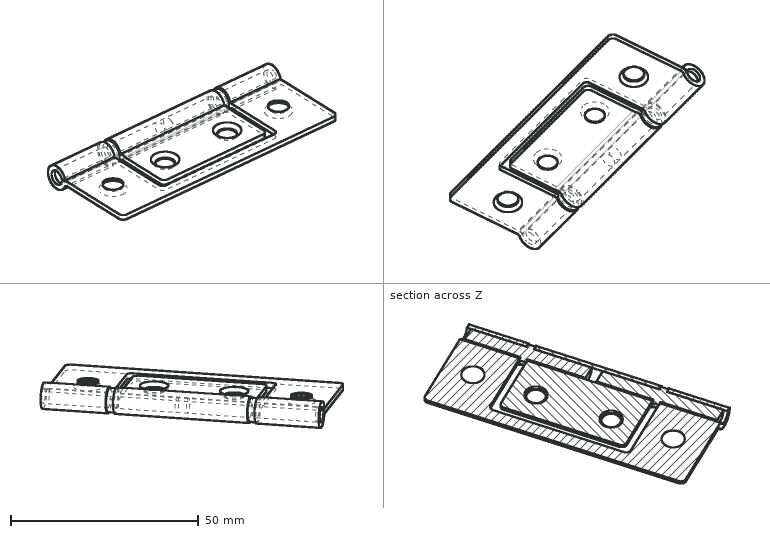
import cadquery as cq
import math

LENGTH = 76.2
SHEET = 1.5
KNUCKLE_RADIUS = 3.6
BORE_RADIUS = KNUCKLE_RADIUS - SHEET
ROLL_END_ANGLE = math.radians(14.0)
CORNER_RADIUS = 1.5
HOLE_X = 13.1
COUNTERSINK_DIAMETER = 7.6
COUNTERSINK_ANGLE = 90.0
MIDDLE_Y = -0.15

OUTER_REACH = 26.8
OUTER_BEND_X = 4.1
WINDOW_REACH = 22.8
WINDOW_HALF_LENGTH = 20.4
WINDOW_RADIUS = 1.2
OUTER_HOLE_DIAMETER = 5.65
OUTER_HOLE_SPACING = 58.5
OUTER_HOLES_CENTER_Y = -0.3

INNER_REACH = 20.95
INNER_HALF_LENGTH = 18.4
INNER_BEND_X = 4.4
INNER_CREST_RISE = 0.18
SETTLE_RADIUS = 2.7
INNER_HOLE_DIAMETER = 5.3
INNER_HOLE_SPACING = 21.95

COLLAR_RADIUS = 3.3
COLLAR_EDGE_RADIUS = 0.3
PIN_RECESS = 1.15
PIN_MIDDLE_GAP = 3.05


def polar(radius, angle, center=(0.0, 0.0)):
    """Point at a radius and angle from a center in the XZ plane."""
    return (center[0] + radius * math.cos(angle), center[1] + radius * math.sin(angle))


def rolled_sheet(reach, bend_x, crest_rise, half_length):
    """Sheet rolled around the hinge axis, with constant thickness through its bends."""
    top = SHEET / 2
    drop = SHEET - (top + crest_rise)
    bend_inside = (bend_x**2 + drop**2 - KNUCKLE_RADIUS**2) / (2 * (KNUCKLE_RADIUS - drop))
    bend_outside = bend_inside + SHEET
    bend_center = (bend_x, top + crest_rise - bend_outside)
    tangent = math.atan2(bend_center[1], bend_center[0])
    roll_middle = (ROLL_END_ANGLE + tangent) / 2 + math.pi
    tilt = math.acos(1 - crest_rise / (bend_outside + SETTLE_RADIUS))
    leave = math.pi / 2 - tilt
    bend_middle = (tangent + math.pi + leave) / 2
    settle_center = polar(bend_outside + SETTLE_RADIUS, leave, bend_center)
    settle_middle = -math.pi / 2 - tilt / 2

    profile = (
        cq.Workplane("XZ", origin=(0, half_length, 0))
        .moveTo(*polar(BORE_RADIUS, ROLL_END_ANGLE))
        .lineTo(*polar(KNUCKLE_RADIUS, ROLL_END_ANGLE))
        .threePointArc(polar(KNUCKLE_RADIUS, roll_middle), polar(KNUCKLE_RADIUS, tangent))
        .threePointArc(polar(bend_inside, bend_middle, bend_center), polar(bend_inside, leave, bend_center))
    )
    if crest_rise > 0:
        profile = profile.threePointArc(
            polar(SETTLE_RADIUS + SHEET, settle_middle, settle_center),
            (settle_center[0], -top),
        )
    profile = profile.lineTo(reach, -top).lineTo(reach, top).lineTo(settle_center[0], top)
    if crest_rise > 0:
        profile = profile.threePointArc(
            polar(SETTLE_RADIUS, settle_middle, settle_center),
            polar(bend_outside, leave, bend_center),
        )
    return (
        profile
        .threePointArc(polar(bend_outside, bend_middle, bend_center), polar(BORE_RADIUS, tangent))
        .threePointArc(polar(BORE_RADIUS, roll_middle), polar(BORE_RADIUS, ROLL_END_ANGLE))
        .close()
        .extrude(2 * half_length)
        .edges("|Z and >X")
        .fillet(CORNER_RADIUS)
    )


def make_outer_leaf():
    leaf = rolled_sheet(OUTER_REACH, OUTER_BEND_X, 0.0, LENGTH / 2)
    window_width = WINDOW_REACH + 2 * KNUCKLE_RADIUS
    window = (
        cq.Workplane("XY")
        .box(window_width, 2 * WINDOW_HALF_LENGTH, 4 * KNUCKLE_RADIUS)
        .translate((WINDOW_REACH - window_width / 2, MIDDLE_Y, 0))
        .edges("|Z and >X")
        .fillet(WINDOW_RADIUS)
    )
    underside = cq.Plane(
        origin=(HOLE_X, OUTER_HOLES_CENTER_Y, -SHEET / 2), xDir=(1, 0, 0), normal=(0, 0, -1)
    )
    return (
        leaf.cut(window)
        .copyWorkplane(cq.Workplane(underside))
        .rarray(0.8, OUTER_HOLE_SPACING, 1, 2)
        .cskHole(OUTER_HOLE_DIAMETER, COUNTERSINK_DIAMETER, COUNTERSINK_ANGLE)
    )


def make_inner_leaf():
    return (
        rolled_sheet(INNER_REACH, INNER_BEND_X, INNER_CREST_RISE, INNER_HALF_LENGTH)
        .translate((0, MIDDLE_Y, 0))
        .copyWorkplane(cq.Workplane("XY", origin=(HOLE_X, MIDDLE_Y, SHEET / 2)))
        .rarray(0.8, INNER_HOLE_SPACING, 1, 2)
        .cskHole(INNER_HOLE_DIAMETER, COUNTERSINK_DIAMETER, COUNTERSINK_ANGLE)
    )


def cylinder_along_y(radius, start, end):
    return cq.Workplane("XZ", origin=(0, start, 0)).circle(radius).extrude(start - end)


def make_flanged_pin(side):
    """Pin with a collar that fills the gap between two knuckles; side is -1 or 1."""
    shaft = cylinder_along_y(BORE_RADIUS, side * PIN_MIDDLE_GAP / 2, side * (LENGTH / 2 - PIN_RECESS))
    collar = cylinder_along_y(
        COLLAR_RADIUS,
        MIDDLE_Y + side * INNER_HALF_LENGTH,
        MIDDLE_Y + side * WINDOW_HALF_LENGTH,
    )
    return shaft.union(collar.edges().fillet(COLLAR_EDGE_RADIUS))


outer_leaf = make_outer_leaf()
inner_leaf = make_inner_leaf()
flanged_pins = [make_flanged_pin(side).val() for side in (-1, 1)]

result = cq.Compound.makeCompound([outer_leaf.val(), inner_leaf.val(), *flanged_pins])